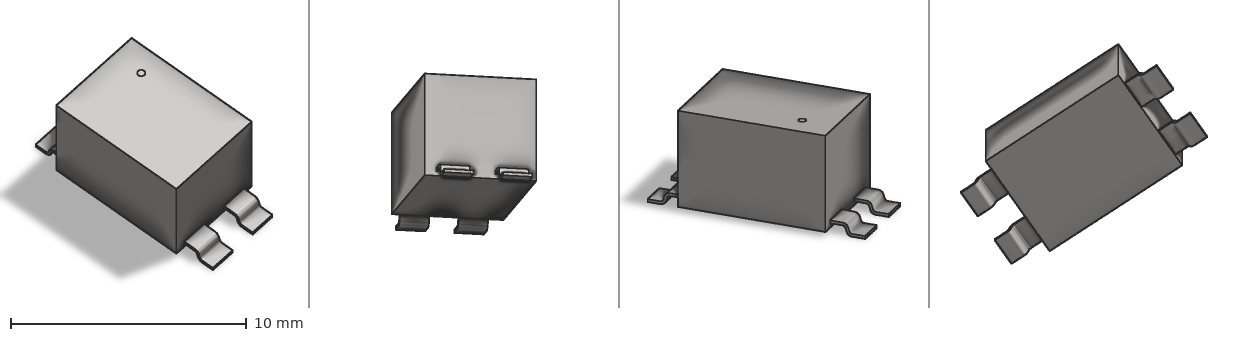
import cadquery as cq
import math

overall_length = 10.03
overall_height = 4.7
standoff = 0.25
housing_length = 6.8
housing_width = 4.83
housing_height = overall_height - standoff

lead_thickness = 0.14
lead_width = 1.27
lead_pitch = 2.55
lead_top = 0.59
foot_length = 0.58
bend_inner_radius = 0.15
bend_outer_radius = bend_inner_radius + lead_thickness
bend_angle = math.radians(73.0)

marker_diameter = 0.34
marker_depth = 0.1
marker_x = -1.85
marker_y = lead_pitch / 2


def make_marker():
    return (
        cq.Workplane("XY", origin=(marker_x, marker_y, overall_height - marker_depth))
        .circle(marker_diameter / 2)
        .extrude(marker_depth)
    )


def make_housing():
    block = (
        cq.Workplane("XY", origin=(0, 0, standoff))
        .rect(housing_length, housing_width)
        .extrude(housing_height)
    )
    return block.cut(make_marker())


def bend_point(center, radius, angle):
    """Point on a bend in the XZ plane, with the angle measured from +Z towards +X."""
    return (center[0] + radius * math.sin(angle), center[1] + radius * math.cos(angle))


def make_lead(y_center, turn):
    """S-bent strip running out from the +X housing side, then turned about Z."""
    tip_x = overall_length / 2
    root_x = housing_length / 2

    drop = lead_top - lead_thickness
    radius_sum = bend_inner_radius + bend_outer_radius
    slope_length = (drop - radius_sum * (1 - math.cos(bend_angle))) / math.sin(bend_angle)
    run = radius_sum * math.sin(bend_angle) + slope_length * math.cos(bend_angle)

    lower = (tip_x - foot_length, bend_outer_radius)
    upper = (lower[0] - run, lead_top - bend_outer_radius)
    back = bend_angle + math.pi
    half = bend_angle / 2

    profile = (
        cq.Workplane("XZ")
        .moveTo(root_x, lead_top)
        .lineTo(upper[0], lead_top)
        .threePointArc(
            bend_point(upper, bend_outer_radius, half),
            bend_point(upper, bend_outer_radius, bend_angle),
        )
        .lineTo(*bend_point(lower, bend_inner_radius, back))
        .threePointArc(
            bend_point(lower, bend_inner_radius, half + math.pi),
            (lower[0], lead_thickness),
        )
        .lineTo(tip_x, lead_thickness)
        .lineTo(tip_x, 0)
        .lineTo(lower[0], 0)
        .threePointArc(
            bend_point(lower, bend_outer_radius, half + math.pi),
            bend_point(lower, bend_outer_radius, back),
        )
        .lineTo(*bend_point(upper, bend_inner_radius, bend_angle))
        .threePointArc(
            bend_point(upper, bend_inner_radius, half),
            (upper[0], lead_top - lead_thickness),
        )
        .lineTo(root_x, lead_top - lead_thickness)
        .close()
    )
    strip = profile.extrude(lead_width / 2, both=True)
    return strip.rotate((0, 0, 0), (0, 0, 1), turn).translate((0, y_center, 0))


housing = make_housing()
marker = make_marker()

leads = []
for turn in (0, 180):
    for side in (-1, 1):
        leads.append(make_lead(side * lead_pitch / 2, turn))

result = cq.Compound.makeCompound([housing.val(), marker.val(), *[lead.val() for lead in leads]])